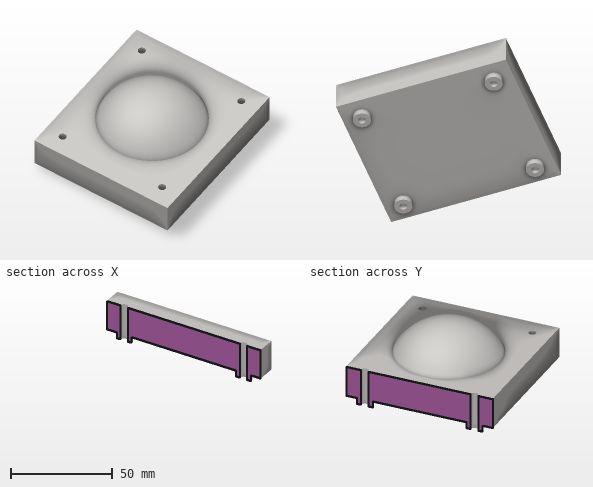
import cadquery as cq

plate_x = 79.2
plate_y = 88.9
plate_height = 16.45

dome_base_radius = 27.9
dome_height = 16.6
sphere_radius = (dome_base_radius**2 + dome_height**2) / (2 * dome_height)

foot_diameter = 8.9
foot_height = 3.3
hole_diameter = 3.9
foot_spacing_x = 59.2
foot_spacing_y = 68.9


def corner_cylinders(diameter, bottom, height):
    """Upright cylinders on the four corner axes."""
    return (
        cq.Workplane("XY", origin=(0, 0, bottom))
        .rect(foot_spacing_x, foot_spacing_y, forConstruction=True)
        .vertices()
        .circle(diameter / 2)
        .extrude(height)
    )


def dome():
    """Spherical cap standing on the plate."""
    sphere_center = plate_height + dome_height - sphere_radius
    sphere = cq.Workplane("XY").sphere(sphere_radius).translate((0, 0, sphere_center))
    cap_space = cq.Workplane("XY", origin=(0, 0, plate_height)).circle(sphere_radius).extrude(dome_height)
    return sphere.intersect(cap_space)


plate = cq.Workplane("XY").rect(plate_x, plate_y).extrude(plate_height)
feet = corner_cylinders(foot_diameter, -foot_height, foot_height)
holes = corner_cylinders(hole_diameter, -foot_height, foot_height + plate_height)

result = plate.union(dome()).union(feet).cut(holes)